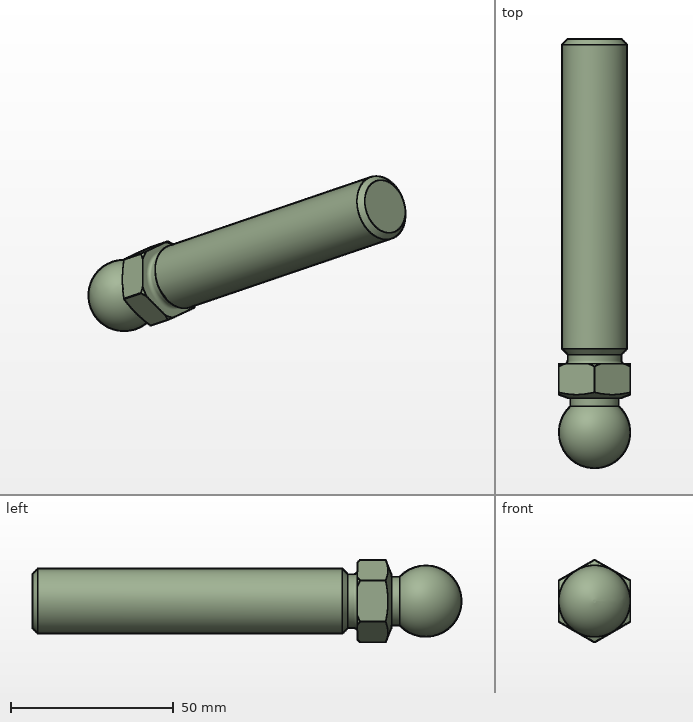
import cadquery as cq
import math

length = 132.0
ball_diameter = 22.0
tip_flat_radius = 0.5
neck_radius = 7.5

hex_width = 22.0
hex_turned_radius = 12.7
hex_front = 21.5
hex_back = 32.1
front_cone_radius = 8.2
front_cone_angle = 22.0
back_corner_chamfer = 0.8

groove_radius = 8.3
groove_fillet = 1.0
stud_radius = 10.0
stud_chamfer = 1.7
stud_start = 36.7

ball_radius = ball_diameter / 2
hex_corner_radius = hex_width / math.sqrt(3)


def revolve_about_y(profile):
    """Turn a closed XY profile a full revolution about the Y axis."""
    return profile.close().revolve(360, (0, 0, 0), (0, 1, 0))


def make_ball_and_neck():
    center = math.sqrt(ball_radius**2 - tip_flat_radius**2)
    junction = center + math.sqrt(ball_radius**2 - neck_radius**2)
    return revolve_about_y(
        cq.Workplane("XY")
        .lineTo(tip_flat_radius, 0)
        .threePointArc((ball_radius, center), (neck_radius, junction))
        .lineTo(neck_radius, hex_front)
        .lineTo(0, hex_front)
    )


def make_hex():
    corners = [
        (
            hex_corner_radius * math.sin(math.radians(60 * i)),
            hex_corner_radius * math.cos(math.radians(60 * i)),
        )
        for i in range(6)
    ]
    prism = (
        cq.Workplane("XZ", origin=(0, hex_front, 0))
        .polyline(corners)
        .close()
        .extrude(hex_front - hex_back)
    )
    cone_depth = (hex_turned_radius - front_cone_radius) * math.tan(math.radians(front_cone_angle))
    envelope = revolve_about_y(
        cq.Workplane("XY")
        .moveTo(0, hex_front)
        .lineTo(front_cone_radius, hex_front)
        .lineTo(hex_turned_radius, hex_front + cone_depth)
        .lineTo(hex_turned_radius, hex_back - back_corner_chamfer)
        .lineTo(hex_turned_radius - back_corner_chamfer, hex_back)
        .lineTo(0, hex_back)
    )
    return prism.intersect(envelope)


def make_stud():
    arc_offset = groove_fillet * (1 - math.sqrt(0.5))
    groove_end = stud_start - (stud_radius - groove_radius)
    return revolve_about_y(
        cq.Workplane("XY")
        .moveTo(0, hex_back)
        .lineTo(groove_radius + groove_fillet, hex_back)
        .threePointArc(
            (groove_radius + arc_offset, hex_back + arc_offset),
            (groove_radius, hex_back + groove_fillet),
        )
        .lineTo(groove_radius, groove_end)
        .lineTo(stud_radius, stud_start)
        .lineTo(stud_radius, length - stud_chamfer)
        .lineTo(stud_radius - stud_chamfer, length)
        .lineTo(0, length)
    )


result = make_ball_and_neck().union(make_hex()).union(make_stud())